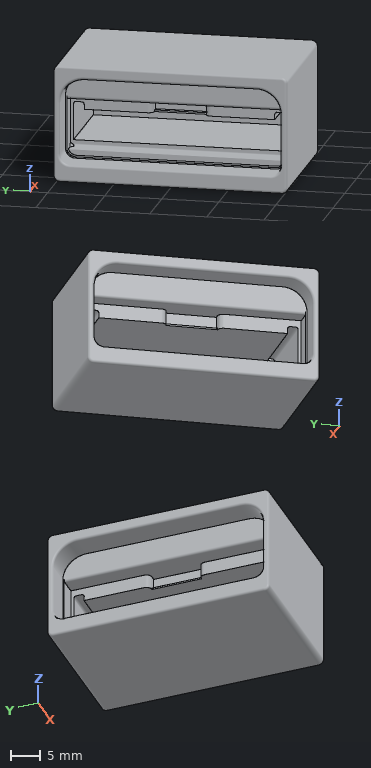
import cadquery as cq

LENGTH, WIDTH, HEIGHT = 25.6, 41.0, 20.65
CORNER_RADIUS = 1.02
RIM_RADIUS = 0.5

MOUTH_DEPTH = 4.6
MOUTH_WIDTH = 38.7
MOUTH_TOP, MOUTH_BOTTOM = 8.05, -7.18
MOUTH_TOP_RADIUS, MOUTH_BOTTOM_RADIUS = 4.3, 1.8

STEP = 0.25
CHAMBER_BACK = 7.7
CHAMBER_WIDTH = MOUTH_WIDTH - 2 * STEP
CHAMBER_TOP = 3.3
CHAMBER_BOTTOM = MOUTH_BOTTOM + STEP
CHAMBER_BOTTOM_RADIUS = MOUTH_BOTTOM_RADIUS - STEP
CEILING_EDGE_RADIUS = 0.5

RIDGE_FRONT = 5.58
RIDGE_TOP = -5.85
RIDGE_FILLET = 0.4
RIDGE_EDGE_RADIUS = 0.12
GUSSET_LEG = 0.95
GUSSET_HEIGHT = 0.57

END_WALL = (WIDTH - MOUTH_WIDTH) / 2
POCKET_WIDTH = 37.15
POCKET_BOTTOM, POCKET_TOP = -4.75, 0.75
TAB_WIDTH = 1.9
TAB_TOP = 2.05
TAB_RADIUS = 0.5

NOTCH_WIDTH = 9.1
NOTCH_EDGE_RADIUS = 1.02
NOTCH_SILL = 1.02
NOTCH_RECESS_DEPTH = 0.8


def box(x_start, x_end, width, z_bottom, z_top, y_center=0):
    """Block between two X stations and two heights, centred on y_center."""
    size = (x_end - x_start, width, z_top - z_bottom)
    corner = cq.Vector(x_start, y_center - width / 2, z_bottom)
    return cq.Workplane(cq.Solid.makeBox(*size, corner))


def make_body():
    body = box(0, LENGTH, WIDTH, -HEIGHT / 2, HEIGHT / 2)
    return body.edges("|X").fillet(CORNER_RADIUS)


def make_mouth():
    mouth = box(0, MOUTH_DEPTH, MOUTH_WIDTH, MOUTH_BOTTOM, MOUTH_TOP)
    mouth = mouth.edges("|X and >Z").fillet(MOUTH_TOP_RADIUS)
    return mouth.edges("|X and <Z").fillet(MOUTH_BOTTOM_RADIUS)


def make_ceiling_edge():
    """Space that rounds the chamber ceiling where it meets the mouth."""
    radius = CEILING_EDGE_RADIUS
    return (
        cq.Workplane("XZ", origin=(0, CHAMBER_WIDTH / 2, 0))
        .moveTo(MOUTH_DEPTH, CHAMBER_TOP)
        .lineTo(MOUTH_DEPTH, CHAMBER_TOP + radius)
        .radiusArc((MOUTH_DEPTH + radius, CHAMBER_TOP), -radius)
        .close()
        .extrude(CHAMBER_WIDTH)
    )


def make_ridge():
    """Floor ridge, blended into the back wall by a concave fillet."""
    return (
        cq.Workplane("XZ", origin=(0, CHAMBER_WIDTH / 2, 0))
        .moveTo(RIDGE_FRONT, CHAMBER_BOTTOM)
        .lineTo(RIDGE_FRONT, RIDGE_TOP - RIDGE_EDGE_RADIUS)
        .radiusArc((RIDGE_FRONT + RIDGE_EDGE_RADIUS, RIDGE_TOP), RIDGE_EDGE_RADIUS)
        .lineTo(CHAMBER_BACK - RIDGE_FILLET, RIDGE_TOP)
        .radiusArc((CHAMBER_BACK, RIDGE_TOP + RIDGE_FILLET), -RIDGE_FILLET)
        .lineTo(CHAMBER_BACK, CHAMBER_BOTTOM)
        .close()
        .extrude(CHAMBER_WIDTH)
    )


def make_gusset(side):
    """Small sloped filling in the ridge's back corner, at the side wall."""
    wall_y = side * CHAMBER_WIDTH / 2
    corner = cq.Vector(CHAMBER_BACK, wall_y, RIDGE_TOP)
    front = cq.Vector(CHAMBER_BACK - GUSSET_LEG, wall_y, RIDGE_TOP)
    inner = cq.Vector(CHAMBER_BACK, wall_y - side * GUSSET_LEG, RIDGE_TOP)
    peak = cq.Vector(CHAMBER_BACK, wall_y, RIDGE_TOP + GUSSET_HEIGHT)
    triangles = [
        (corner, front, inner),
        (corner, front, peak),
        (corner, inner, peak),
        (front, inner, peak),
    ]
    faces = [cq.Face.makeFromWires(cq.Wire.makePolygon(points, close=True)) for points in triangles]
    return cq.Workplane(cq.Solid.makeSolid(cq.Shell.makeShell(faces)))


def make_chamber():
    chamber = box(MOUTH_DEPTH, CHAMBER_BACK, CHAMBER_WIDTH, CHAMBER_BOTTOM, CHAMBER_TOP)
    chamber = chamber.edges("|X and <Z").fillet(CHAMBER_BOTTOM_RADIUS)
    chamber = chamber.cut(make_ridge())
    for side in (-1, 1):
        chamber = chamber.cut(make_gusset(side))
    return chamber.union(make_ceiling_edge())


def make_pocket():
    pocket_end = LENGTH - END_WALL
    pocket = box(CHAMBER_BACK, pocket_end, POCKET_WIDTH, POCKET_BOTTOM, POCKET_TOP)
    for side in (-1, 1):
        tab_y = side * (POCKET_WIDTH - TAB_WIDTH) / 2
        tab = box(CHAMBER_BACK, pocket_end, TAB_WIDTH, POCKET_BOTTOM, TAB_TOP, tab_y)
        pocket = pocket.union(tab.edges("|X and >Z").fillet(TAB_RADIUS))
    return pocket


def make_notch():
    """Notch with rounded vertical front edges and a deeper recess above a sill."""
    radius = NOTCH_EDGE_RADIUS
    half_width = NOTCH_WIDTH / 2
    notch_back = CHAMBER_BACK + radius
    notch = (
        cq.Workplane("XY", origin=(0, 0, POCKET_TOP))
        .moveTo(CHAMBER_BACK, -half_width - radius)
        .radiusArc((notch_back, -half_width), radius)
        .lineTo(notch_back, half_width)
        .radiusArc((CHAMBER_BACK, half_width + radius), radius)
        .close()
        .extrude(CHAMBER_TOP - POCKET_TOP)
    )
    recess_back = notch_back + NOTCH_RECESS_DEPTH
    recess = box(notch_back, recess_back, NOTCH_WIDTH, NOTCH_SILL, CHAMBER_TOP)
    return notch.union(recess)


shell = make_body().cut(make_mouth())
shell = shell.faces("<X").edges().fillet(RIM_RADIUS)

result = shell.cut(make_chamber()).cut(make_pocket()).cut(make_notch())